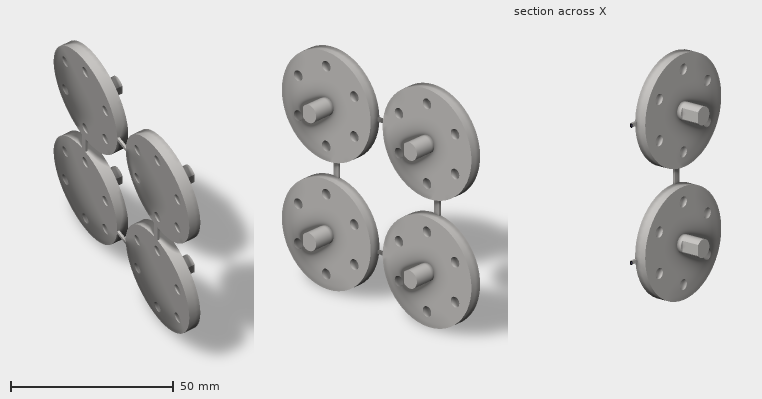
import cadquery as cq

disc_diameter = 37.0
disc_thickness = 4.0
overall_width = 79.0
overall_height = 80.3
overall_depth = 12.0
half_pitch_x = (overall_width - disc_diameter) / 2
half_pitch_z = (overall_height - disc_diameter) / 2

hole_count = 6
hole_diameter = 3.5
hole_circle_diameter = 27.0

shaft_diameter = 6.0
shaft_length = overall_depth - disc_thickness
flat_offset = 2.4
round_collar_length = 1.6

strip_thickness = 0.8
strip_embed = 0.8
upright_strip_width = 2.1
upper_strip_width = 1.3
lower_strip_width = 1.1
lower_strip_drop = 1.5


def cylinder(diameter, start_y, length):
    """Cylinder on the Y axis running from start_y toward +Y."""
    return cq.Workplane("XZ", origin=(0, start_y, 0)).circle(diameter / 2).extrude(-length)


def make_disc():
    holes = (
        cq.Workplane("XZ")
        .polarArray(hole_circle_diameter / 2, 90, 360, hole_count)
        .circle(hole_diameter / 2)
        .extrude(-disc_thickness)
    )
    return cylinder(disc_diameter, 0, disc_thickness).cut(holes)


def make_shaft():
    flat_length = shaft_length - round_collar_length
    flat_cutter = (
        cq.Workplane("XY")
        .box(shaft_diameter, flat_length, shaft_diameter, centered=(False, False, True))
        .translate((flat_offset, disc_thickness + round_collar_length, 0))
    )
    return cylinder(shaft_diameter, disc_thickness, shaft_length).cut(flat_cutter)


def make_strip(width_x, width_z, center_x, center_z):
    strip = cq.Workplane("XY").box(width_x, strip_thickness, width_z, centered=(True, False, True))
    return strip.translate((center_x, 0, center_z))


wheel = make_disc().union(make_shaft())
result = cq.Workplane("XY")
for x in (-half_pitch_x, half_pitch_x):
    for z in (-half_pitch_z, half_pitch_z):
        result = result.union(wheel.translate((x, 0, z)))

upright_length = 2 * half_pitch_z - disc_diameter + 2 * strip_embed
for x in (-half_pitch_x, half_pitch_x):
    result = result.union(make_strip(upright_strip_width, upright_length, x - upright_strip_width / 2, 0))

cross_length = 2 * half_pitch_x - disc_diameter + 2 * strip_embed
result = result.union(make_strip(cross_length, upper_strip_width, 0, half_pitch_z))
result = result.union(make_strip(cross_length, lower_strip_width, 0, -half_pitch_z - lower_strip_drop))